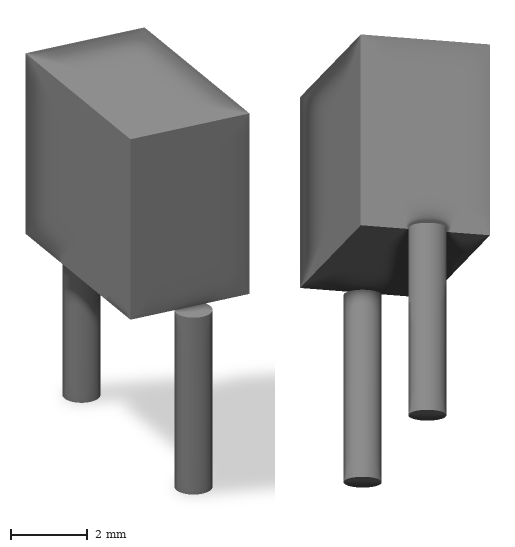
import cadquery as cq

housing_length = 5.99
housing_width = 3.5
housing_height = 5.2

total_height = 10.3
total_length = 7.4
lead_diameter = 1.0
lead_length = total_height - housing_height
lead_spacing = total_length - lead_diameter


def make_housing():
    """Plain block standing on the plane z = 0."""
    return cq.Workplane("XY").box(
        housing_length, housing_width, housing_height, centered=(True, True, False)
    )


def make_lead(x):
    """Round lead whose top end touches the underside of the housing."""
    return cq.Workplane("XY").center(x, 0).circle(lead_diameter / 2).extrude(-lead_length)


housing = make_housing()
leads = [make_lead(side * lead_spacing / 2) for side in (-1, 1)]

result = cq.Compound.makeCompound([housing.val(), *[lead.val() for lead in leads]])